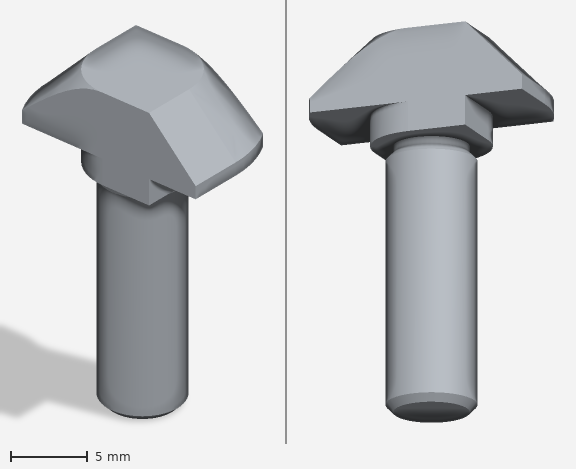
import cadquery as cq

total_height = 25.0
head_length = 16.0
head_width = 8.0

head_height = 5.0
wing_edge_height = 1.0
neck_height = 2.0

shank_diameter = 6.0
undercut_diameter = 5.0
undercut_height = 0.5

half_length = head_length / 2
half_width = head_width / 2
shank_radius = shank_diameter / 2
undercut_radius = undercut_diameter / 2
chamfer = shank_radius - undercut_radius

wing_bottom = total_height - head_height
slope_bottom = wing_bottom + wing_edge_height
neck_bottom = wing_bottom - neck_height
undercut_bottom = neck_bottom - undercut_height

head_profile = [
    (0, neck_bottom),
    (half_width, neck_bottom),
    (half_width, wing_bottom),
    (half_length, wing_bottom),
    (half_length, slope_bottom),
    (half_width, total_height),
    (0, total_height),
]


def revolve_profile(points):
    """Solid of revolution about Z from (radius, height) points."""
    return cq.Workplane("XZ").polyline(points).close().revolve(360, (0, 0), (0, 1))


def square_quarter():
    """Straight quarter of the head at +X, -Y."""
    return cq.Workplane("XZ").polyline(head_profile).close().extrude(half_width)


def round_quarter():
    """Conical quarter of the head at +X, +Y, cut flat at the head side."""
    quadrant = cq.Workplane("XY").box(half_length, half_width, total_height, centered=False)
    return revolve_profile(head_profile).intersect(quadrant)


def make_head():
    """Two opposite square quarters and two opposite round quarters."""
    half = square_quarter().union(round_quarter())
    return half.union(half.rotate((0, 0, 0), (0, 0, 1), 180))


def make_shank():
    """Cylinder with a chamfered end and a narrower undercut below the head."""
    return revolve_profile([
        (0, 0),
        (shank_radius - chamfer, 0),
        (shank_radius, chamfer),
        (shank_radius, undercut_bottom - chamfer),
        (undercut_radius, undercut_bottom),
        (undercut_radius, neck_bottom),
        (0, neck_bottom),
    ])


result = make_head().union(make_shank())